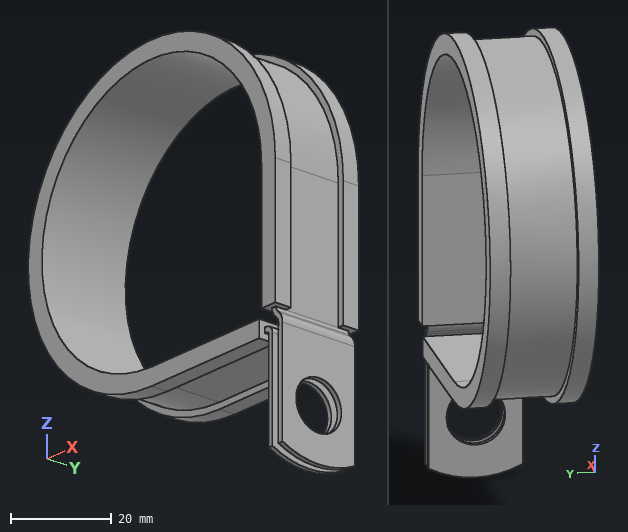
import cadquery as cq
import math

overall_length = 75.6
overall_height = 101.1

outer_diameter = 75.1
outer_radius = outer_diameter / 2
cushion_thickness = 4.2
cushion_width = 22.1
flange_width = 4.1
groove_depth = 1.5
vertical_leg_end_z = -31.3
horizontal_leg_end_x = 32.7
inner_radius = outer_radius - cushion_thickness
groove_width = cushion_width - 2 * flange_width

strap_thickness = 1.2
strap_width = 19.2
strap_outer_radius = outer_radius - groove_depth
strap_mid_radius = strap_outer_radius - strap_thickness / 2
embed_length = 2.0

tab_gap = 1.8
tab_outer_x = overall_length - outer_radius
tab_tip_z = outer_radius - overall_height
tab_tip_rise = 2.3
hole_diameter = 11.9
hole_z = -50.8
outer_tab_x = tab_outer_x - strap_thickness / 2
inner_tab_x = outer_tab_x - strap_thickness - tab_gap
strap_half_width = strap_width / 2

jog_start_z = vertical_leg_end_z
jog_angle = math.radians(45)
jog_upper_radius = 2.0
jog_lower_radius = 2.8
elbow_radius = 1.2


def extrude_centered(profile, width):
    """Extrude an XZ profile by equal amounts to both sides of Y = 0."""
    return profile.extrude(width / 2, both=True)


def band(outer, inner, width):
    """Three-quarter ring continued by its two tangent straight legs."""
    diagonal = math.sqrt(0.5)
    profile = (
        cq.Workplane("XZ")
        .moveTo(outer, vertical_leg_end_z)
        .lineTo(outer, 0)
        .threePointArc((-outer * diagonal, outer * diagonal), (0, -outer))
        .lineTo(horizontal_leg_end_x, -outer)
        .lineTo(horizontal_leg_end_x, -inner)
        .lineTo(0, -inner)
        .threePointArc((-inner * diagonal, inner * diagonal), (inner, 0))
        .lineTo(inner, vertical_leg_end_z)
        .close()
    )
    return extrude_centered(profile, width)


def sheet(path):
    """Thicken a strap centre line to the sheet thickness and strap width."""
    return extrude_centered(path.offset2D(strap_thickness / 2), strap_width)


def outer_strap_end():
    """Strap leaving the vertical leg, stepping outward in a double bend."""
    sine = math.sin(jog_angle)
    drop = 1 - math.cos(jog_angle)
    half_sine = math.sin(jog_angle / 2)
    half_drop = 1 - math.cos(jog_angle / 2)
    upper_end_x = strap_mid_radius + jog_upper_radius * drop
    upper_end_z = jog_start_z - jog_upper_radius * sine
    lower_start_x = outer_tab_x - jog_lower_radius * drop
    lower_start_z = upper_end_z - (lower_start_x - upper_end_x) / math.tan(jog_angle)
    lower_end_z = lower_start_z - jog_lower_radius * sine
    upper_mid = (strap_mid_radius + jog_upper_radius * half_drop, jog_start_z - jog_upper_radius * half_sine)
    lower_mid = (outer_tab_x - jog_lower_radius * half_drop, lower_end_z + jog_lower_radius * half_sine)
    path = (
        cq.Workplane("XZ")
        .moveTo(strap_mid_radius, vertical_leg_end_z + embed_length)
        .lineTo(strap_mid_radius, jog_start_z)
        .threePointArc(upper_mid, (upper_end_x, upper_end_z))
        .lineTo(lower_start_x, lower_start_z)
        .threePointArc(lower_mid, (outer_tab_x, lower_end_z))
        .lineTo(outer_tab_x, tab_tip_z)
    )
    return sheet(path)


def inner_strap_end():
    """Strap leaving the horizontal leg and turning down through an elbow."""
    elbow_start_x = inner_tab_x - elbow_radius
    elbow_end_z = -strap_mid_radius - elbow_radius
    diagonal = elbow_radius * math.sqrt(0.5)
    path = (
        cq.Workplane("XZ")
        .moveTo(horizontal_leg_end_x - embed_length, -strap_mid_radius)
        .lineTo(elbow_start_x, -strap_mid_radius)
        .threePointArc(
            (elbow_start_x + diagonal, elbow_end_z + diagonal),
            (inner_tab_x, elbow_end_z),
        )
        .lineTo(inner_tab_x, tab_tip_z)
    )
    return sheet(path)


def tab_envelope():
    """Block with the arched tab outline, spanning both strap ends along X."""
    return (
        cq.Workplane("YZ")
        .moveTo(-strap_half_width, 0)
        .lineTo(-strap_half_width, tab_tip_z + tab_tip_rise)
        .threePointArc((0, tab_tip_z), (strap_half_width, tab_tip_z + tab_tip_rise))
        .lineTo(strap_half_width, 0)
        .close()
        .extrude(tab_outer_x)
    )


def bolt_hole():
    """Cylinder along X through both tabs."""
    return (
        cq.Workplane("YZ")
        .center(0, hole_z)
        .circle(hole_diameter / 2)
        .extrude(tab_outer_x)
    )


cushion = band(outer_radius, inner_radius, cushion_width)
groove = band(outer_radius, strap_outer_radius, groove_width)
tabs = outer_strap_end().union(inner_strap_end())
tabs = tabs.intersect(tab_envelope()).cut(bolt_hole())

result = cushion.cut(groove).union(tabs)